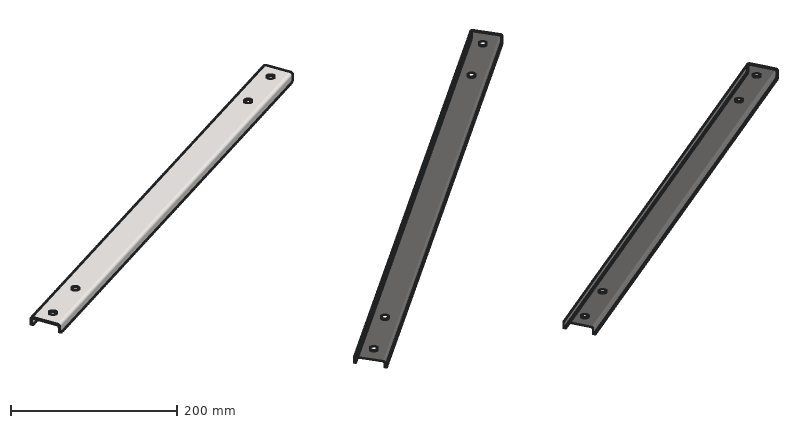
import cadquery as cq

width = 40.0
length = 622.0
height = 13.0

thickness = 2.0
inner_bend_radius = 2.0
outer_bend_radius = inner_bend_radius + thickness

flange_corner_radius = 4.0

hole_diameter = 9.5
end_to_outer_hole = 20.0
hole_spacing = 60.0


def bent_bar(bar_width, bar_height, bend_radius):
    """Solid bar standing on Z = 0 with its two long upper edges rounded."""
    bar = cq.Workplane("XY").box(bar_width, length, bar_height, centered=(True, True, False))
    return bar.edges("|Y and >Z").fillet(bend_radius)


def make_channel():
    """Open-bottomed channel of uniform wall thickness, running along Y."""
    outside = bent_bar(width, height, outer_bend_radius)
    inside = bent_bar(width - 2 * thickness, height - thickness, inner_bend_radius)
    return outside.cut(inside)


def round_flange_corners(channel):
    """Round the bottom corner at both ends of each flange."""
    return channel.edges("|X and <Z").fillet(flange_corner_radius)


def drill_web(channel):
    """Drill a pair of through holes near each end, on the centre line of the web."""
    outer_hole_y = length / 2 - end_to_outer_hole
    inner_hole_y = outer_hole_y - hole_spacing
    centers = [(0, side * y) for side in (-1, 1) for y in (outer_hole_y, inner_hole_y)]
    drills = cq.Workplane("XY").pushPoints(centers).circle(hole_diameter / 2).extrude(height)
    return channel.cut(drills)


result = drill_web(round_flange_corners(make_channel()))